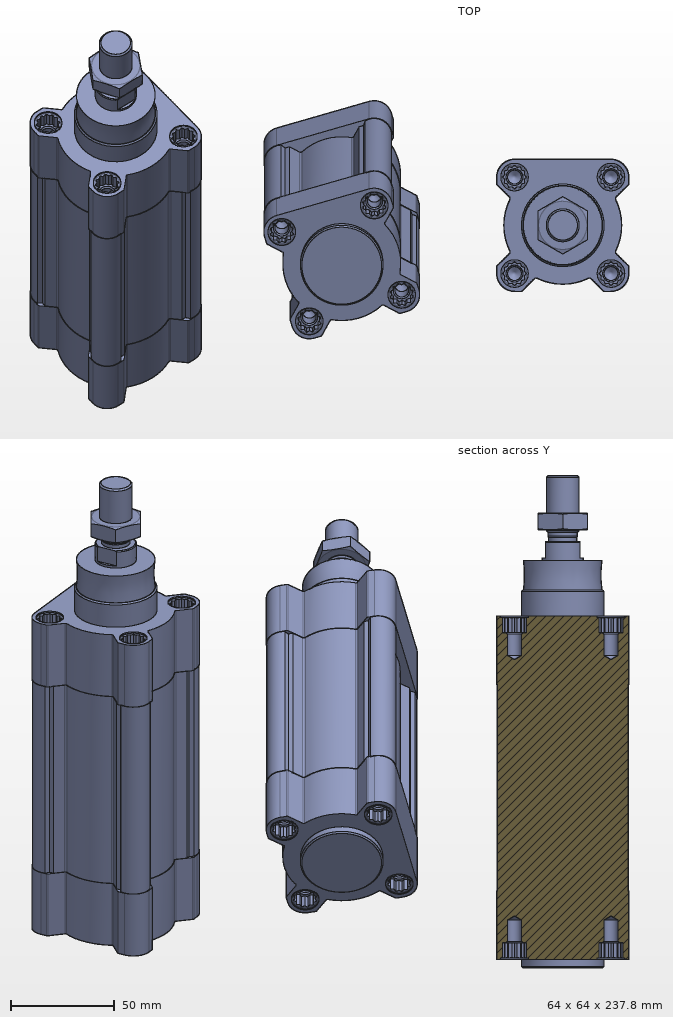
import cadquery as cq
import math

TOTAL_HEIGHT = 237.8
SPIGOT_HEIGHT = 4.0
BODY_LENGTH = 166.0
CAP_LENGTH = 33.0
COLLAR_BASE_HEIGHT = 12.5
COLLAR_HEIGHT = 26.9
ROD_SHOULDER_Z = 206.0
NUT_BASE_Z = 211.6
NUT_HEIGHT = 8.0
BODY_TOP_Z = SPIGOT_HEIGHT + BODY_LENGTH
COLLAR_TOP_Z = BODY_TOP_Z + COLLAR_HEIGHT
BARREL_BASE_Z = SPIGOT_HEIGHT + CAP_LENGTH
BARREL_TOP_Z = BODY_TOP_Z - CAP_LENGTH

BODY_WIDTH = 64.0
CORE_RADIUS = 28.5
SCREW_OFFSET = 23.3
LUG_RADIUS = BODY_WIDTH / 2 - SCREW_OFFSET
FLANK_OFFSET = LUG_RADIUS * math.sqrt(2)
CAP_CORNER_FILLET = 1.0
CAP_ROOT_FILLET = 0.7

BARREL_INSET = 0.2
STEP_OUTER_X = 21.2
STEP_INNER_X = 19.7
FLAT_END_X = 17.5
BARREL_ROOT_FILLET = 1.2

COLLAR_DIAMETER = 40.0
COLLAR_CHAMFER = 0.7
GRIP_END_DIAMETER = 38.0
GRIP_WAIST_DIAMETER = 37.0

HEAD_DIAMETER = 13.3
HEAD_DEPTH = 0.7
SOCKET_MOUTH_DIAMETER = 12.0
MOUTH_SLOPE = 0.2
SOCKET_DIAMETER = 11.5
SOCKET_VALLEY_RATIO = 0.85
SOCKET_POINTS = 12
SOCKET_DEPTH = 8.0
THREAD_MOUTH_DIAMETER = 8.0
THREAD_CORE_DIAMETER = 6.7
THREAD_DEPTH = 19.0
DRILL_POINT_ANGLE = 118.0

ROD_DIAMETER = 20.0
ROD_BASE_Z = BARREL_TOP_Z
ROD_CHAMFER = 0.5
ROD_FLATS_WIDTH = 17.0
ROD_FLATS_BASE_Z = 198.0
THREAD_DIAMETER = 16.0
NECK_DIAMETER = 14.3
NECK_TOP_Z = 210.5
GROOVE_DIAMETER = 13.8
GROOVE_TOP_Z = 208.5
NECK_CONE = 0.7
THREAD_CHAMFER = (THREAD_DIAMETER - NECK_DIAMETER) / 2

NUT_ACROSS_FLATS = 24.0
NUT_FACE_DIAMETER = 23.3
NUT_CHAMFER_ANGLE = 15.0


def mirrored(points):
    """Points reflected in the line y = x and listed in reverse order."""
    return [(y, x) for x, y in reversed(points)]


def cylinder(diameter, base_z, top_z):
    return cq.Workplane("XY").workplane(offset=base_z).circle(diameter / 2).extrude(top_z - base_z)


def revolved(profile):
    """Solid of revolution about Z from (radius, z) points."""
    return cq.Workplane("XZ").polyline(profile).close().revolve(360, (0, 0, 0), (0, 1, 0))


def at_corner(shape, quarter):
    return shape.rotate((0, 0, 0), (0, 0, 1), 90 * quarter)


def lug_tip(radius):
    """Middle of the lug's corner arc."""
    reach = SCREW_OFFSET + radius / math.sqrt(2)
    return reach, reach


def ring_of_lugs(lug, core_radius, base_z, length):
    """Round core joined to four copies of one corner lug."""
    core = cylinder(2 * core_radius, base_z, base_z + length)
    solid = at_corner(core, 0.5)
    for quarter in range(4):
        solid = solid.union(at_corner(lug, quarter))
    return solid


def fillet_edges_at(solid, axis_distance, fillet_radius):
    """Round the vertical edges that lie at one distance from the cylinder axis."""

    def is_there(edge):
        middle = edge.Center()
        return math.isclose(math.hypot(middle.x, middle.y), axis_distance, abs_tol=0.02)

    return solid.edges("|Z").filter(is_there).fillet(fillet_radius)


def lug_prism(side, arc_radius, base_z, length):
    """Corner lug: `side` runs from the core to the corner arc, and is mirrored beyond the arc."""
    outline = cq.Workplane("XY").workplane(offset=base_z).polyline(side)
    outline = outline.threePointArc(lug_tip(arc_radius), mirrored(side)[0])
    for point in mirrored(side)[1:]:
        outline = outline.lineTo(*point)
    return outline.close().extrude(length)


def cap(base_z):
    """End cap: core and four round-cornered lugs, with a full-width flat on +Y."""
    half = BODY_WIDTH / 2
    corner = half - FLANK_OFFSET
    side = [(0, FLANK_OFFSET), (corner, half), (SCREW_OFFSET, half)]
    lug = lug_prism(side, LUG_RADIUS, base_z, CAP_LENGTH)
    solid = ring_of_lugs(lug, CORE_RADIUS, base_z, CAP_LENGTH)
    flat_side = (
        cq.Workplane("XY")
        .workplane(offset=base_z)
        .center(0, half / 2)
        .rect(2 * SCREW_OFFSET, half)
        .extrude(CAP_LENGTH)
    )
    solid = solid.union(flat_side)
    solid = fillet_edges_at(solid, CORE_RADIUS, CAP_ROOT_FILLET)
    return fillet_edges_at(solid, math.hypot(corner, half), CAP_CORNER_FILLET)


def barrel():
    """Tube between the caps: each lug has a small step on both sides of its corner arc."""
    length = BARREL_TOP_Z - BARREL_BASE_Z
    core_radius = CORE_RADIUS - BARREL_INSET
    arc_radius = LUG_RADIUS - BARREL_INSET
    flank_offset = arc_radius * math.sqrt(2)
    flat_y = FLAT_END_X + flank_offset
    arc_end_y = SCREW_OFFSET + math.sqrt(arc_radius**2 - (SCREW_OFFSET - STEP_OUTER_X) ** 2)
    side = [(0, flank_offset), (FLAT_END_X, flat_y), (STEP_INNER_X, flat_y), (STEP_OUTER_X, arc_end_y)]
    lug = lug_prism(side, arc_radius, BARREL_BASE_Z, length)
    solid = ring_of_lugs(lug, core_radius, BARREL_BASE_Z, length)
    return fillet_edges_at(solid, core_radius, BARREL_ROOT_FILLET)


def collar():
    """Stepped front collar with a waisted grip ring, on the cap's top face."""
    top_radius = GRIP_END_DIAMETER / 2
    base_radius = COLLAR_DIAMETER / 2
    shoulder_z = BODY_TOP_Z + COLLAR_BASE_HEIGHT
    middle_z = (shoulder_z + COLLAR_TOP_Z) / 2
    return (
        cq.Workplane("XZ")
        .moveTo(0, BODY_TOP_Z)
        .lineTo(base_radius, BODY_TOP_Z)
        .lineTo(base_radius, shoulder_z - COLLAR_CHAMFER)
        .lineTo(base_radius - COLLAR_CHAMFER, shoulder_z)
        .lineTo(top_radius, shoulder_z)
        .threePointArc((GRIP_WAIST_DIAMETER / 2, middle_z), (top_radius, COLLAR_TOP_Z))
        .lineTo(0, COLLAR_TOP_Z)
        .close()
        .revolve(360, (0, 0, 0), (0, 1, 0))
    )


def spigot():
    return cylinder(COLLAR_DIAMETER, 0, SPIGOT_HEIGHT).faces("<Z").chamfer(COLLAR_CHAMFER)


def screw_recess():
    """Cavity of one sunk screw head, opening at z = 0 and going down."""
    tip = SOCKET_DIAMETER / 2
    valley = tip * SOCKET_VALLEY_RATIO
    star = []
    for corner in range(2 * SOCKET_POINTS):
        angle = math.pi * corner / SOCKET_POINTS
        radius = tip if corner % 2 == 0 else valley
        star.append((radius * math.cos(angle), radius * math.sin(angle)))
    socket = cq.Workplane("XY").polyline(star).close().extrude(-SOCKET_DEPTH)
    head_radius = HEAD_DIAMETER / 2
    mouth_radius = SOCKET_MOUTH_DIAMETER / 2
    thread_mouth = THREAD_MOUTH_DIAMETER / 2
    thread_core = THREAD_CORE_DIAMETER / 2
    drill_point = thread_core / math.tan(math.radians(DRILL_POINT_ANGLE / 2))
    bore = revolved([
        (0, 0),
        (head_radius, 0),
        (head_radius, -HEAD_DEPTH),
        (mouth_radius, -HEAD_DEPTH),
        (thread_mouth, -HEAD_DEPTH - (mouth_radius - thread_mouth) * MOUTH_SLOPE),
        (thread_mouth, -SOCKET_DEPTH),
        (thread_core, -SOCKET_DEPTH - (thread_mouth - thread_core)),
        (thread_core, -THREAD_DEPTH),
        (0, -THREAD_DEPTH - drill_point),
    ])
    return bore.union(socket)


def rod():
    """Piston rod with wrench flats, a necked thread and a chamfered end."""
    rod_radius = ROD_DIAMETER / 2
    neck_radius = NECK_DIAMETER / 2
    groove_radius = GROOVE_DIAMETER / 2
    thread_radius = THREAD_DIAMETER / 2
    solid = revolved([
        (0, ROD_BASE_Z),
        (rod_radius, ROD_BASE_Z),
        (rod_radius, ROD_SHOULDER_Z - ROD_CHAMFER),
        (rod_radius - ROD_CHAMFER, ROD_SHOULDER_Z),
        (groove_radius, ROD_SHOULDER_Z),
        (groove_radius, GROOVE_TOP_Z - NECK_CONE),
        (neck_radius, GROOVE_TOP_Z),
        (neck_radius, NECK_TOP_Z),
        (thread_radius, NECK_TOP_Z + THREAD_CHAMFER),
        (thread_radius, TOTAL_HEIGHT - THREAD_CHAMFER),
        (thread_radius - THREAD_CHAMFER, TOTAL_HEIGHT),
        (0, TOTAL_HEIGHT),
    ])
    outside_flats = (
        cq.Workplane("XY")
        .workplane(offset=ROD_FLATS_BASE_Z)
        .rect(2 * ROD_DIAMETER, 2 * ROD_DIAMETER)
        .rect(ROD_FLATS_WIDTH, 2 * ROD_DIAMETER)
        .extrude(ROD_SHOULDER_Z - ROD_FLATS_BASE_Z)
    )
    return solid.cut(outside_flats)


def nut():
    """Hexagon nut, chamfered at both faces and bored for the rod's thread."""
    corner = NUT_ACROSS_FLATS / math.cos(math.radians(30))
    plane = cq.Workplane("XY").workplane(offset=NUT_BASE_Z)
    hexagon = plane.polygon(6, corner).extrude(NUT_HEIGHT).rotate((0, 0, 0), (0, 0, 1), 30)
    radial = (corner - NUT_FACE_DIAMETER) / 2
    axial = radial * math.tan(math.radians(NUT_CHAMFER_ANGLE))
    bound = plane.circle(corner / 2).extrude(NUT_HEIGHT)
    bound = bound.faces(">Z").chamfer(axial, radial).faces("<Z").chamfer(axial, radial)
    return hexagon.intersect(bound).cut(cylinder(THREAD_DIAMETER, NUT_BASE_Z, NUT_BASE_Z + NUT_HEIGHT))


def housing():
    """Cylinder housing: two caps, barrel, collar and spigot, with the rod bore and screw recesses."""
    solid = cap(SPIGOT_HEIGHT).union(barrel()).union(cap(BARREL_TOP_Z)).union(collar()).union(spigot())
    solid = solid.cut(cylinder(ROD_DIAMETER, BARREL_TOP_Z, COLLAR_TOP_Z))
    recess = screw_recess()
    for x in (-SCREW_OFFSET, SCREW_OFFSET):
        for y in (-SCREW_OFFSET, SCREW_OFFSET):
            solid = solid.cut(recess.translate((x, y, BODY_TOP_Z)))
            solid = solid.cut(recess.mirror("XY").translate((x, y, SPIGOT_HEIGHT)))
    return solid


result = cq.Compound.makeCompound([housing().val(), rod().val(), nut().val()])